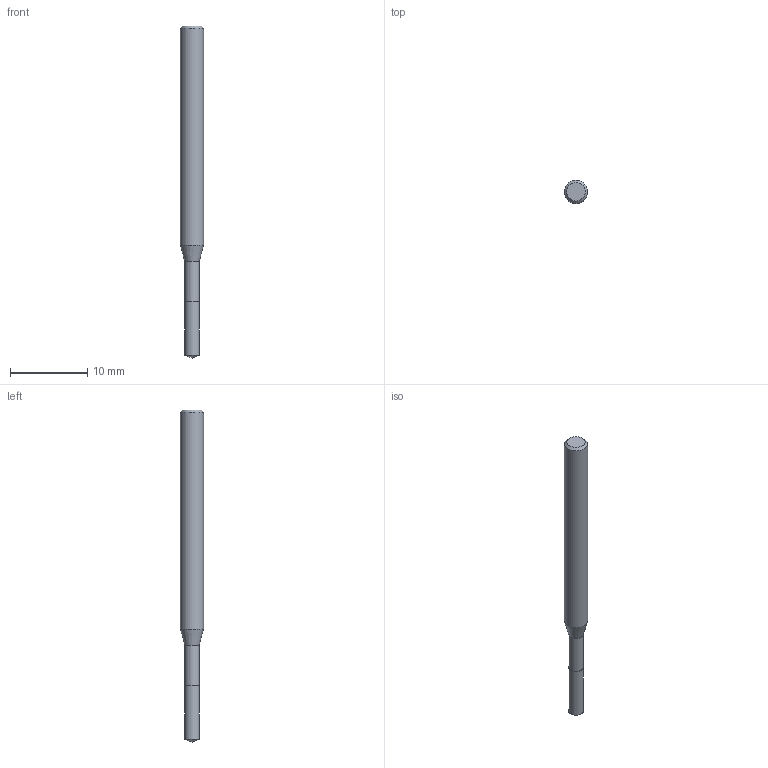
import cadquery as cq
import math

total_length = 43.0
shank_diameter = 3.0
end_chamfer = 0.3

neck_diameter = 1.86
neck_bottom = 7.3
neck_top = 12.5
taper_half_angle = 15.0

cutter_diameter = 1.9
point_angle = 140.0

shank_radius = shank_diameter / 2
neck_radius = neck_diameter / 2
cutter_radius = cutter_diameter / 2
taper_height = (shank_radius - neck_radius) / math.tan(math.radians(taper_half_angle))
shank_bottom = neck_top + taper_height
point_height = cutter_radius / math.tan(math.radians(point_angle / 2))


def revolve_profile(points):
    """Turn a closed half profile of (radius, height) points around the Z axis."""
    return (
        cq.Workplane("XZ")
        .polyline(points)
        .close()
        .revolve(360, (0, 0, 0), (0, 1, 0))
    )


def make_shank():
    """Cylindrical shank with a chamfered end, tapering down to a slimmer neck."""
    return revolve_profile([
        (0, neck_bottom),
        (neck_radius, neck_bottom),
        (neck_radius, neck_top),
        (shank_radius, shank_bottom),
        (shank_radius, total_length - end_chamfer),
        (shank_radius - end_chamfer, total_length),
        (0, total_length),
    ])


def make_cutter():
    """Cutting section with a conical drill point, butted against the neck."""
    return revolve_profile([
        (0, 0),
        (cutter_radius, point_height),
        (cutter_radius, neck_bottom),
        (0, neck_bottom),
    ])


shank = make_shank()
cutter = make_cutter()

result = cq.Compound.makeCompound([shank.val(), cutter.val()])